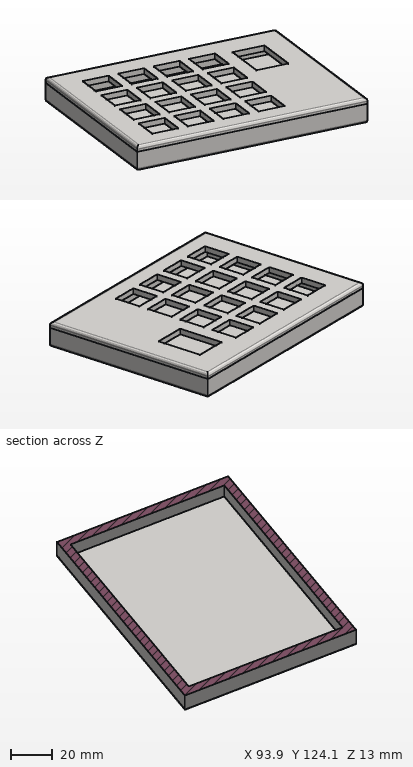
import cadquery as cq

case_width = 93.9
case_length = 124.1
case_height = 13.0
lid_thickness = 3.0
base_height = case_height - lid_thickness
edge_radius = 1.5

wall_thickness = 5.0
floor_thickness = lid_thickness
cavity_width = case_width - 2 * wall_thickness
cavity_length = case_length - 2 * wall_thickness
cavity_depth = base_height - floor_thickness

key_rows = 4
key_columns = 4
key_pitch = 19.1
key_window = 14.0
key_grid_x = 1.4
key_grid_y = -13.0

display_width = 24.6
display_length = 17.2
display_x = -19.5
display_y = 39.3


def make_base():
    """Open tray with its bottom edges rounded and its corners square."""
    block = cq.Workplane("XY").box(case_width, case_length, base_height, centered=(True, True, False))
    rounded_block = block.faces("<Z").edges().fillet(edge_radius)
    cavity = (
        cq.Workplane("XY", origin=(0, 0, floor_thickness))
        .box(cavity_width, cavity_length, cavity_depth, centered=(True, True, False))
    )
    return rounded_block.cut(cavity)


def make_lid_plate():
    """Plain lid resting on the rim of the base, with its top edges rounded."""
    plate = (
        cq.Workplane("XY", origin=(0, 0, base_height))
        .box(case_width, case_length, lid_thickness, centered=(True, True, False))
    )
    return plate.faces(">Z").edges().fillet(edge_radius)


def cut_key_windows(lid):
    """Cut the grid of key windows through the lid."""
    windows = (
        cq.Workplane("XY", origin=(key_grid_x, key_grid_y, base_height))
        .rarray(key_pitch, key_pitch, key_columns, key_rows)
        .rect(key_window, key_window)
        .extrude(lid_thickness)
    )
    return lid.cut(windows)


def cut_display_window(lid):
    """Cut the display window through the lid."""
    window = (
        cq.Workplane("XY", origin=(display_x, display_y, base_height))
        .rect(display_width, display_length)
        .extrude(lid_thickness)
    )
    return lid.cut(window)


base = make_base()
lid = cut_display_window(cut_key_windows(make_lid_plate()))

result = cq.Compound.makeCompound([base.val(), *lid.vals()])